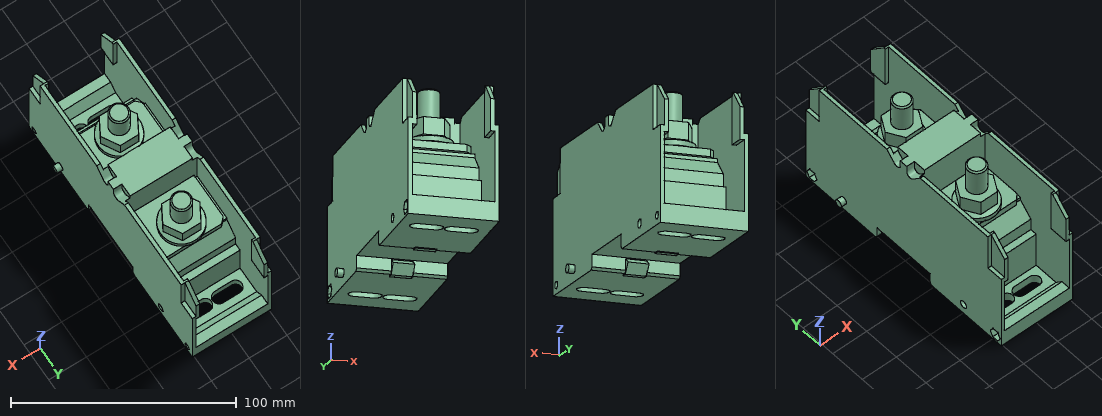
import cadquery as cq
import math

length = 132.0
width = 42.0
height = 66.0
wall = 2.0
half_length = length / 2
half_width = width / 2
inner_half_width = half_width - wall

ledge_height = 9.0
ledge_depth = 5.0
floor_height = 5.0
step_y = 43.6
step_height = 26.0
riser_y = 40.0
riser_height = 33.0
deck_bevel = 7.0
deck_height = 41.7
bridge_half_length = 9.0

lip_length = 10.0
lip_bottom = 42.0
recess_length = 9.0
recess_bottom = 45.0
corner_chamfer = 9.0

notch_depth = 4.5
tab_half_width = 2.2
notch_radius = 2.3
notch_bottom = 60.2

floor_slot_length = 15.3
floor_slot_width = 6.5
floor_slot_spacing = 16.0
floor_slot_y = 50.0

rail_half_width = 17.8
rail_depth = 7.0
rail_corner_chamfer = 1.2
hook_width = 10.0
hook_drop = 0.45
hook_tip_y = 14.9
hook_tip_height = 4.3
hook_top_height = 6.5
hook_toe_y = 18.3
hook_heel_y = 21.1

screw_y = 61.9
screw_height = 4.25
screw_diameter = 3.3
nut_pocket_across_flats = 5.75
nut_pocket_depth = 5.0

pin_y = 40.5
pin_height = 6.0
pin_diameter = 4.0
pin_length = 3.0
pin_hole_depth = 4.0

terminal_y = 25.2
plate_half_width = 17.3
plate_end_y = 35.2
plate_chamfer = 2.6
plate_top = 45.2
washer_diameter = 22.0
washer_rim_top = 47.65
washer_cone_diameter = 15.0
nut_bottom = 48.75
nut_top = 56.9
nut_across_flats = 17.0
stud_diameter = 10.0
stud_top = 71.7
stud_chamfer = 0.8


def both_ends(shape):
    """The shape together with its half-turn copy at the other end."""
    return shape.union(shape.rotate((0, 0, 0), (0, 0, 1), 180))


def both_sides(shape):
    """The shape together with its mirror image across X = 0."""
    return shape.union(shape.mirror("YZ"))


def extrude_across(outline, half_depth):
    """Extrude a closed YZ sketch equally to both sides of X = 0."""
    return outline.extrude(half_depth, both=True)


def hexagon_diameter(across_flats):
    return across_flats / math.cos(math.pi / 6)


def make_support_block():
    ledge_inner_y = half_length - ledge_depth
    slope_foot_y = ledge_inner_y - (ledge_height - floor_height)
    deck_y = riser_y - deck_bevel
    half_profile = [
        (0, 0),
        (half_length, 0),
        (half_length, ledge_height),
        (ledge_inner_y, ledge_height),
        (slope_foot_y, floor_height),
        (step_y, floor_height),
        (step_y, step_height),
        (riser_y, step_height),
        (riser_y, riser_height),
        (deck_y, riser_height + deck_bevel),
        (deck_y, deck_height),
        (bridge_half_length, deck_height),
        (bridge_half_length, height),
        (0, height),
    ]
    outline = cq.Workplane("YZ").polyline(half_profile).close()
    return both_ends(extrude_across(outline, inner_half_width))


def make_side_walls():
    walls = both_sides(
        cq.Workplane("XY").box(wall, length, height, centered=(False, True, False))
        .translate((inner_half_width, 0, 0))
    )
    lip = both_sides(
        cq.Workplane("XY").box(wall, lip_length, height - lip_bottom, centered=False)
        .translate((inner_half_width - wall, half_length - lip_length, lip_bottom))
    )
    recess = both_sides(
        cq.Workplane("XY").box(wall, recess_length, height - recess_bottom, centered=False)
        .translate((inner_half_width, half_length - recess_length, recess_bottom))
    )
    corner = extrude_across(
        cq.Workplane("YZ").polyline([
            (half_length, height - corner_chamfer),
            (half_length, height),
            (half_length - corner_chamfer, height),
        ]).close(),
        half_width,
    )
    return walls.union(both_ends(lip)).cut(both_ends(recess)).cut(both_ends(corner))


def make_bridge_notches():
    centre_y = tab_half_width + notch_radius
    centre_z = notch_bottom + notch_radius
    diagonal = notch_radius * math.sqrt(0.5)
    tangent_y = centre_y + diagonal
    tangent_z = centre_z - diagonal
    notch = (
        cq.Workplane("YZ", origin=(half_width - notch_depth, 0, 0))
        .moveTo(tab_half_width, height)
        .lineTo(tab_half_width, centre_z)
        .threePointArc((centre_y, notch_bottom), (tangent_y, tangent_z))
        .lineTo(tangent_y + height - tangent_z, height)
        .close()
        .extrude(notch_depth)
    )
    return both_ends(both_sides(notch))


def make_floor_slots():
    slots = (
        cq.Workplane("XY", origin=(0, floor_slot_y, 0))
        .rarray(floor_slot_spacing, 1, 2, 1)
        .slot2D(floor_slot_length, floor_slot_width)
        .extrude(floor_height)
    )
    return both_ends(slots)


def make_rail_channel():
    half_profile = [
        (0, 0),
        (rail_half_width + rail_corner_chamfer, 0),
        (rail_half_width, rail_corner_chamfer),
        (rail_half_width, rail_depth),
        (0, rail_depth),
    ]
    outline = cq.Workplane("YZ").polyline(half_profile).close()
    return both_ends(extrude_across(outline, half_width))


def make_rail_hooks():
    profile = [
        (hook_heel_y, -hook_drop),
        (hook_toe_y, -hook_drop),
        (hook_tip_y, hook_tip_height),
        (rail_half_width, hook_top_height),
        (hook_heel_y, hook_top_height),
    ]
    outline = cq.Workplane("YZ").polyline(profile).close()
    return both_ends(extrude_across(outline, hook_width / 2))


def make_screw_holes():
    screw_points = [(-screw_y, screw_height), (screw_y, screw_height)]
    holes = extrude_across(
        cq.Workplane("YZ").pushPoints(screw_points).circle(screw_diameter / 2), half_width
    )
    nut_pockets = (
        cq.Workplane("YZ", origin=(-half_width, 0, 0))
        .pushPoints(screw_points)
        .polygon(6, hexagon_diameter(nut_pocket_across_flats))
        .extrude(nut_pocket_depth)
    )
    return holes.union(nut_pockets)


def make_pins():
    pin = (
        cq.Workplane("YZ", origin=(half_width, -pin_y, pin_height))
        .circle(pin_diameter / 2)
        .extrude(pin_length)
    )
    return both_ends(pin)


def make_pin_holes():
    hole = (
        cq.Workplane("YZ", origin=(half_width, pin_y, pin_height))
        .circle(pin_diameter / 2)
        .extrude(-pin_hole_depth)
    )
    return both_ends(hole)


def make_terminal():
    plate = (
        cq.Workplane("XY", origin=(0, 0, deck_height))
        .moveTo(-plate_half_width, bridge_half_length)
        .lineTo(plate_half_width, bridge_half_length)
        .lineTo(plate_half_width, plate_end_y - plate_chamfer)
        .lineTo(plate_half_width - plate_chamfer, plate_end_y)
        .lineTo(plate_chamfer - plate_half_width, plate_end_y)
        .lineTo(-plate_half_width, plate_end_y - plate_chamfer)
        .close()
        .extrude(plate_top - deck_height)
    )
    washer = (
        cq.Workplane("XZ")
        .moveTo(0, plate_top)
        .lineTo(washer_diameter / 2, plate_top)
        .lineTo(washer_diameter / 2, washer_rim_top)
        .lineTo(washer_cone_diameter / 2, nut_bottom)
        .lineTo(0, nut_bottom)
        .close()
        .revolve(360, (0, 0, 0), (0, 1, 0))
        .translate((0, terminal_y, 0))
    )
    nut = (
        cq.Workplane("XY", origin=(0, terminal_y, nut_bottom))
        .polygon(6, hexagon_diameter(nut_across_flats))
        .extrude(nut_top - nut_bottom)
    )
    stud = (
        cq.Workplane("XY", origin=(0, terminal_y, plate_top))
        .circle(stud_diameter / 2)
        .extrude(stud_top - plate_top)
        .faces(">Z").edges().chamfer(stud_chamfer)
    )
    return plate.union(washer).union(nut).union(stud)


housing = make_support_block().union(make_side_walls())
housing = housing.cut(make_bridge_notches())
housing = housing.cut(make_floor_slots())
housing = housing.cut(make_rail_channel())
housing = housing.cut(make_screw_holes())
housing = housing.cut(make_pin_holes())

result = (
    housing
    .union(make_rail_hooks())
    .union(make_pins())
    .union(both_ends(make_terminal()))
)